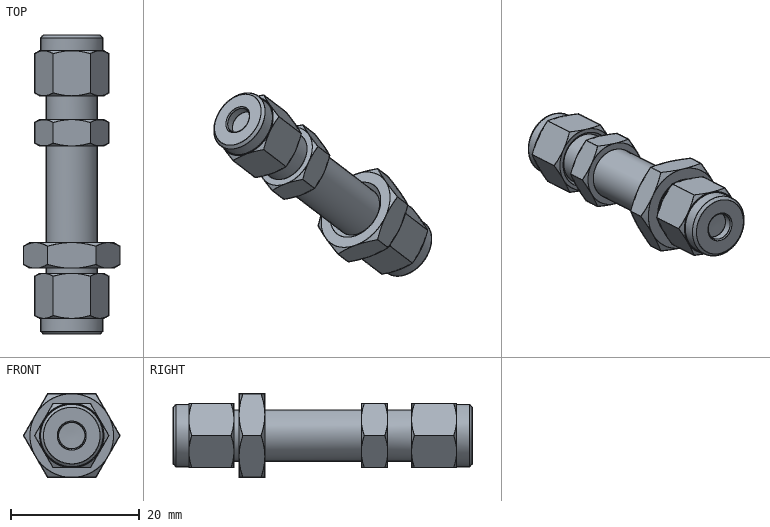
import cadquery as cq
import math

length = 46.5
front_end = -length / 2
rear_end = length / 2

stem_radius = 4.0

nut_flats = 10.0
nut_hex_length = 7.0
collar_length = 2.45
collar_radius = 4.85
collar_chamfer = 0.45

wrench_flats = 10.0
wrench_length = 4.1
wrench_gap = 3.7

mouth_radius = 4.4
mouth_depth = mouth_radius - stem_radius

panel_nut_flats = 13.0
panel_nut_length = 4.0
panel_nut_gap = 0.8
panel_nut_mouth_radius = 4.75
panel_nut_mouth_depth = panel_nut_mouth_radius - stem_radius

socket_radius = 2.05
socket_mouth_radius = 2.25
socket_mouth_depth = 0.2
socket_depth = 1.5
socket_cone_depth = 0.06

corner_bevel_angle = math.radians(30)


def along_y(profile):
    """Revolve a closed list of (radius, y) points about the Y axis."""
    return cq.Workplane("XY").polyline(profile).close().revolve(360, (0, 0, 0), (0, 1, 0))


def bevelled_hexagon(flats, start, thickness):
    """Hexagonal prism along +Y, flats facing up and down, with its corners bevelled at both ends."""
    corner_radius = flats / math.sqrt(3)
    bevel = (corner_radius - flats / 2) * math.tan(corner_bevel_angle)
    prism = (
        cq.Workplane("XZ", origin=(0, start, 0))
        .polygon(6, 2 * corner_radius)
        .extrude(-thickness)
    )
    end = start + thickness
    envelope = along_y([
        (0, start),
        (flats / 2, start),
        (corner_radius, start + bevel),
        (corner_radius, end - bevel),
        (flats / 2, end),
        (0, end),
    ])
    return prism.intersect(envelope)


def compression_nut():
    """Nut for the front end: a chamfered collar, a hexagon and a countersunk mouth facing the stem."""
    hex_start = front_end + collar_length
    hex_end = hex_start + nut_hex_length
    collar = along_y([
        (0, front_end),
        (collar_radius - collar_chamfer, front_end),
        (collar_radius, front_end + collar_chamfer),
        (collar_radius, hex_start),
        (0, hex_start),
    ])
    mouth = along_y([
        (stem_radius, hex_end - mouth_depth),
        (mouth_radius, hex_end),
        (stem_radius, hex_end),
    ])
    return collar.union(bevelled_hexagon(nut_flats, hex_start, nut_hex_length)).cut(mouth)


def tube_socket():
    """Blind hole in the front end with a bevelled mouth and a very shallow conical floor."""
    floor = front_end + socket_depth
    return along_y([
        (0, front_end),
        (socket_mouth_radius, front_end),
        (socket_radius, front_end + socket_mouth_depth),
        (socket_radius, floor),
        (0, floor + socket_cone_depth),
    ])


nut_length = collar_length + nut_hex_length
stem = (
    cq.Workplane("XZ", origin=(0, front_end + collar_length, 0))
    .circle(stem_radius)
    .extrude(-(length - 2 * collar_length))
)
wrench_start = rear_end - nut_length - wrench_gap - wrench_length
body = stem.union(bevelled_hexagon(wrench_flats, wrench_start, wrench_length))
for turn in (0, 180):
    body = body.union(compression_nut().rotate((0, 0, 0), (0, 0, 1), turn))
for turn in (0, 180):
    body = body.cut(tube_socket().rotate((0, 0, 0), (0, 0, 1), turn))

panel_nut_start = front_end + nut_length + panel_nut_gap
panel_nut_end = panel_nut_start + panel_nut_length
panel_nut_bore = along_y([
    (0, panel_nut_start),
    (panel_nut_mouth_radius, panel_nut_start),
    (stem_radius, panel_nut_start + panel_nut_mouth_depth),
    (stem_radius, panel_nut_end - panel_nut_mouth_depth),
    (panel_nut_mouth_radius, panel_nut_end),
    (0, panel_nut_end),
])
panel_nut = bevelled_hexagon(panel_nut_flats, panel_nut_start, panel_nut_length).cut(panel_nut_bore)

result = cq.Compound.makeCompound([body.val(), panel_nut.val()])